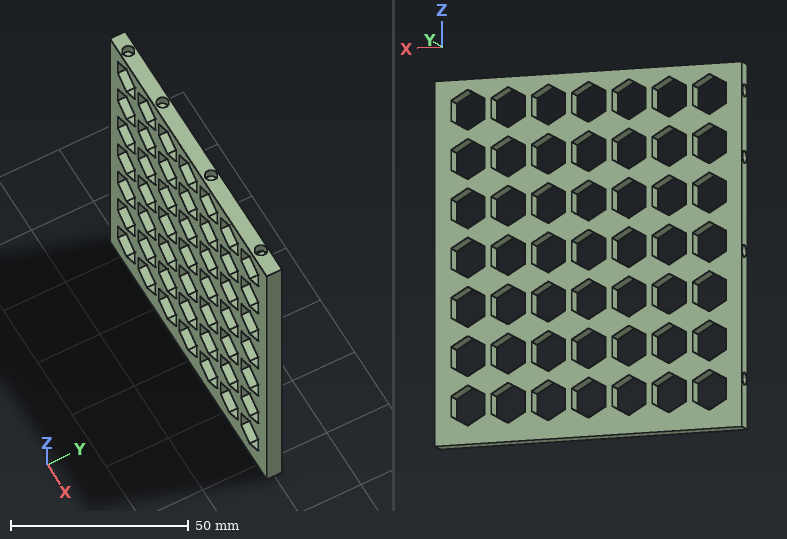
import cadquery as cq
import math

WIDTH = 91.6
THICKNESS = 5.0
HEIGHT = 105.0

COLUMNS = 7
ROWS = 7
HEX_FLATS = 10.0
HEX_CORNERS = HEX_FLATS / math.cos(math.pi / 6)
HEX_TURN = 30
COLUMN_PITCH = 12.0
ROW_PITCH = 14.17
LEFT_MARGIN = 4.67
TOP_MARGIN = 3.0

HOLE_DIAMETER = 3.5
HOLE_DEPTH = TOP_MARGIN + 0.05
TOP_EDGE_HOLES = [(6.25, 0.0), (26.1, 0.1), (54.2, 0.25), (83.1, 0.35)]
SIDE_EDGE_HOLES = [(7.9, 0.05), (27.0, 0.05), (54.1, 0.4), (90.8, 0.05)]

LEFT_EDGE = -WIDTH / 2
TOP_EDGE = HEIGHT / 2


def hex_windows():
    """Hexagonal prisms running through the full thickness."""
    first_x = LEFT_EDGE + LEFT_MARGIN + HEX_FLATS / 2
    first_z = TOP_EDGE - TOP_MARGIN - HEX_CORNERS / 2
    prism = (
        cq.Workplane("XZ")
        .polygon(6, HEX_CORNERS)
        .extrude(THICKNESS, both=True)
        .rotate((0, 0, 0), (0, 1, 0), HEX_TURN)
        .val()
    )
    prisms = []
    for column in range(COLUMNS):
        for row in range(ROWS):
            centre = cq.Vector(first_x + column * COLUMN_PITCH, 0, first_z - row * ROW_PITCH)
            prisms.append(prism.translate(centre))
    return cq.Workplane(cq.Compound.makeCompound(prisms))


def drill(body, mouth, direction):
    """Cut one blind hole starting at a point on an edge face."""
    hole = cq.Solid.makeCylinder(
        HOLE_DIAMETER / 2, HOLE_DEPTH, cq.Vector(*mouth), cq.Vector(*direction)
    )
    return body.cut(cq.Workplane(hole))


plate = cq.Workplane("XY").box(WIDTH, THICKNESS, HEIGHT)
plate = plate.cut(hex_windows())

for distance, y in TOP_EDGE_HOLES:
    plate = drill(plate, (LEFT_EDGE + distance, y, TOP_EDGE), (0, 0, -1))

for distance, y in SIDE_EDGE_HOLES:
    plate = drill(plate, (LEFT_EDGE, y, TOP_EDGE - distance), (1, 0, 0))

result = cq.Workplane(plate.solids().val())